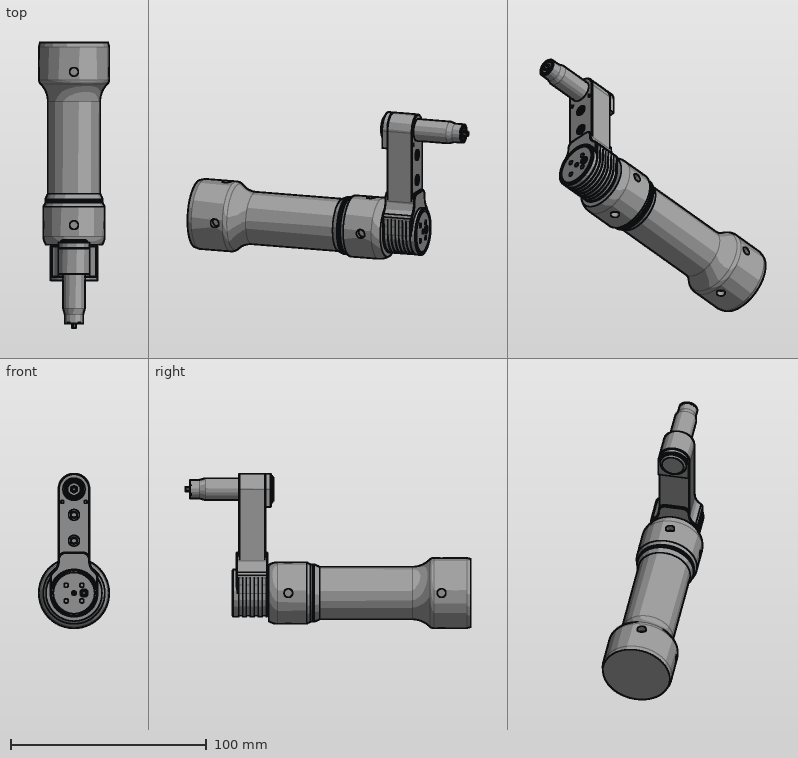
import cadquery as cq
import math


head_radius = 18.0
head_rear_radius = 17.4
head_lead_in_end_at = 2.2
head_front_at = 19.0
head_edge_radius = 3.0
barrel_radius = 13.45
barrel_front_at = 77.2
band_radius = 14.7
band_rear_at = 79.9
band_front_at = 81.9
band_groove_width = 0.4
band_groove_depth = 0.3
collar_radius = 15.75
collar_rear_at = 83.8
collar_taper_at = 98.8
collar_front_at = 103.3
collar_front_radius = 14.3
spanner_hole_radius = 2.2
spanner_hole_depth = 3.5
spanner_hole_rows = ((15.0, head_radius), (93.2, collar_radius))
spanner_holes_per_row = 4

hub_radius = 12.1
hub_rear_at = 103.7
hub_front_at = 119.7
hub_shoulder_z = 9.0
shoulder_chamfer_x = 0.9
shoulder_chamfer_z = 1.5
hub_neck_z = 16.6
hub_top_z = 20.8
hub_corner_radius = 3.5
hub_edge_chamfer = 0.45
spigot_radius = 10.5
grip_groove_count = 4
grip_groove_width = 2.1
grip_groove_pitch = 4.0
grip_groove_depth = 0.5
grip_groove_top_z = 7.7
grip_runout_z = 4.2
first_grip_groove_at = 104.5

disc_radius = hub_radius
disc_front_at = 121.7
disc_chamfer_length = 0.4
disc_chamfer_width = 0.7
disc_recess_radius = 10.5
disc_recess_depth = 0.2
disc_hole_radius = 1.1
disc_hole_depth = 4.0
disc_hole_spacing = 8.0
centre_hole_depth = 1.5
centre_pilot_radius = 0.5
set_screw_x = 5.1
set_screw_radius = 2.0
set_screw_recess = 0.5
set_screw_countersink_radius = 1.4
set_screw_countersink_depth = 0.3
set_screw_socket_radius = 0.9
set_screw_socket_depth = 1.5

crank_length = 53.0
arm_width = 16.0
arm_rear_at = 104.8
arm_front_at = 118.4
arm_edge_chamfer = 0.4
arm_screw_heights = (26.7, 39.9)
arm_screw_radius = 2.75
arm_screw_recess = 0.2
arm_socket_radius = 1.5
arm_socket_depth = 1.5
arm_socket_lip_radius = 1.7
arm_socket_lip_depth = 0.3
pin_hole_x = 5.95
pin_hole_z = 46.5
pin_hole_radius = 0.8
pin_hole_depth = 3.0

cover_rear_at = 102.0
cover_bottom_z = 43.9
cover_edge_chamfer = 0.3
nut_rear_at = 100.6
nut_rear_radius = 5.6
nut_front_radius = 6.8
nut_base_length = 0.5

pin_radius = 5.65
pin_front_at = 135.7
tip_rear_at = 138.6
tip_radius = 4.8
tip_front_at = 143.6
tip_chamfer = 0.3
core_radius = 3.3
tip_wall = 0.6
serration_depth = 0.8
serration_count = 24
serration_width = 0.35
hex_radius = 1.3
hex_front_at = 145.9
hex_chamfer = 0.3
hex_recess_radius = 1.85
hex_recess_depth = 0.6


def cylinder(radius, rear_at, front_at, x=0.0, z=0.0):
    """Cylinder along Y between two distances from the rear face."""
    section = cq.Workplane("XZ").workplane(offset=rear_at).center(x, z)
    return section.circle(radius).extrude(front_at - rear_at)


def hexagon(corner_radius, rear_at, front_at, x=0.0, z=0.0):
    """Hexagonal prism along Y with one corner pointing up."""
    corners = []
    for i in range(6):
        angle = math.radians(90 + 60 * i)
        corners.append((corner_radius * math.cos(angle), corner_radius * math.sin(angle)))
    section = cq.Workplane("XZ").workplane(offset=rear_at).center(x, z)
    return section.polyline(corners).close().extrude(front_at - rear_at)


def make_handle():
    """Revolved head, barrel and collar with radial spanner holes."""
    neck_angle = math.radians(45)
    half_turn = neck_angle / 2
    diagonal = math.cos(neck_angle)
    edge_end_at = head_front_at + head_edge_radius * diagonal
    edge_end_radius = head_radius - head_edge_radius * (1 - diagonal)
    neck_radius = (edge_end_radius - barrel_radius) / (1 - diagonal)
    neck_end_at = edge_end_at + neck_radius * diagonal
    edge_middle = (
        head_radius - head_edge_radius * (1 - math.cos(half_turn)),
        -(head_front_at + head_edge_radius * math.sin(half_turn)),
    )
    neck_middle = (
        barrel_radius + neck_radius * (1 - math.cos(half_turn)),
        -(neck_end_at - neck_radius * math.sin(half_turn)),
    )
    profile = (
        cq.Workplane("XY")
        .moveTo(0, 0)
        .lineTo(head_rear_radius, 0)
        .lineTo(head_radius, -head_lead_in_end_at)
        .lineTo(head_radius, -head_front_at)
        .threePointArc(edge_middle, (edge_end_radius, -edge_end_at))
        .threePointArc(neck_middle, (barrel_radius, -neck_end_at))
        .lineTo(barrel_radius, -barrel_front_at)
        .lineTo(band_radius, -band_rear_at)
        .lineTo(band_radius, -band_front_at)
        .lineTo(collar_radius, -collar_rear_at)
        .lineTo(collar_radius, -collar_taper_at)
        .tangentArcPoint((collar_front_radius, -collar_front_at), relative=False)
        .lineTo(0, -collar_front_at)
        .close()
    )
    handle = profile.revolve(360, (0, 0, 0), (0, 1, 0))

    groove_rear_at = (band_rear_at + band_front_at - band_groove_width) / 2
    groove_front_at = groove_rear_at + band_groove_width
    groove = cylinder(collar_radius, groove_rear_at, groove_front_at)
    groove = groove.cut(cylinder(band_radius - band_groove_depth, groove_rear_at, groove_front_at))
    handle = handle.cut(groove)

    for row_at, surface_radius in spanner_hole_rows:
        hole = (
            cq.Workplane("XY")
            .workplane(offset=surface_radius - spanner_hole_depth)
            .center(0, -row_at)
            .circle(spanner_hole_radius)
            .extrude(2 * spanner_hole_depth)
        )
        for i in range(spanner_holes_per_row):
            angle = 360 / spanner_holes_per_row * i
            handle = handle.cut(hole.rotate((0, 0, 0), (0, 1, 0), angle))
    return handle


def make_grip_groove(rear_at, front_at):
    """Cutter around the round bottom of the hub that runs out on both of its flat sides."""
    floor_x = hub_radius - grip_groove_depth
    outer_x = 2 * hub_radius
    section = cq.Workplane("XZ").workplane(offset=rear_at)
    outside = (
        section.moveTo(-outer_x, grip_groove_top_z)
        .lineTo(-outer_x, -outer_x)
        .lineTo(outer_x, -outer_x)
        .lineTo(outer_x, grip_groove_top_z)
        .close()
        .extrude(front_at - rear_at)
    )
    core = (
        section.moveTo(-hub_radius, grip_groove_top_z)
        .lineTo(-floor_x, grip_runout_z)
        .lineTo(-floor_x, 0)
        .threePointArc((0, -floor_x), (floor_x, 0))
        .lineTo(floor_x, grip_runout_z)
        .lineTo(hub_radius, grip_groove_top_z)
        .close()
        .extrude(front_at - rear_at)
    )
    return outside.cut(core)


def make_hub():
    """Hub with a round bottom, a flared neck for the arm and grip grooves around it."""
    half_arm = arm_width / 2
    flare_x = hub_radius - shoulder_chamfer_x
    flare_z = hub_shoulder_z + shoulder_chamfer_z
    outline = (
        cq.Workplane("XZ")
        .workplane(offset=hub_rear_at)
        .moveTo(0, hub_top_z)
        .lineTo(half_arm, hub_top_z)
        .lineTo(half_arm, hub_neck_z)
        .tangentArcPoint((flare_x, flare_z), relative=False)
        .lineTo(hub_radius, hub_shoulder_z)
        .lineTo(hub_radius, 0)
        .radiusArc((0, -hub_radius), hub_radius)
        .mirrorY()
    )
    hub = outline.extrude(hub_front_at - hub_rear_at)
    hub = hub.edges("|Y").edges(">Z").fillet(hub_corner_radius)
    hub = hub.faces("<Y or >Y").chamfer(hub_edge_chamfer)

    for i in range(grip_groove_count):
        rear_at = first_grip_groove_at + i * grip_groove_pitch
        hub = hub.cut(make_grip_groove(rear_at, rear_at + grip_groove_width))

    return hub.union(cylinder(spigot_radius, collar_front_at, hub_rear_at))


def make_disc():
    """Front disc with a bevelled rim and a shallow recess in its face."""
    disc = cylinder(disc_radius, hub_front_at - hub_edge_chamfer, disc_front_at)
    rim = (
        cq.Workplane("XY")
        .moveTo(disc_radius - disc_chamfer_width, -disc_front_at)
        .lineTo(disc_radius, -disc_front_at)
        .lineTo(disc_radius, -(disc_front_at - disc_chamfer_length))
        .close()
        .revolve(360, (0, 0, 0), (0, 1, 0))
    )
    disc = disc.cut(rim)
    floor_at = disc_front_at - disc_recess_depth
    return disc.cut(cylinder(disc_recess_radius, floor_at, disc_front_at))


def disc_holes():
    """Cutters for the hole pattern and the set screw; they reach into the hub."""
    half_spacing = disc_hole_spacing / 2
    bottom_at = disc_front_at - disc_hole_depth
    centre_step_at = disc_front_at - centre_hole_depth
    cutters = cylinder(disc_hole_radius, centre_step_at, disc_front_at)
    cutters = cutters.union(cylinder(centre_pilot_radius, bottom_at, centre_step_at))
    for x in (-half_spacing, half_spacing):
        for z in (-half_spacing, half_spacing):
            cutters = cutters.union(cylinder(disc_hole_radius, bottom_at, disc_front_at, x, z))
    screw_at = disc_front_at - disc_recess_depth - set_screw_recess
    cutters = cutters.union(cylinder(set_screw_radius, screw_at, disc_front_at, set_screw_x))
    countersink_at = screw_at - set_screw_countersink_depth
    cutters = cutters.union(cylinder(set_screw_countersink_radius, countersink_at, screw_at, set_screw_x))
    socket_at = screw_at - set_screw_socket_depth
    return cutters.union(hexagon(set_screw_socket_radius, socket_at, screw_at, set_screw_x))


def arm_section(bottom_z, rear_at, front_at):
    """Prism with the arm width and a full round around the crank pin axis."""
    half_arm = arm_width / 2
    return (
        cq.Workplane("XZ")
        .workplane(offset=rear_at)
        .moveTo(-half_arm, bottom_z)
        .lineTo(-half_arm, crank_length)
        .threePointArc((0, crank_length + half_arm), (half_arm, crank_length))
        .lineTo(half_arm, bottom_z)
        .close()
        .extrude(front_at - rear_at)
    )


def make_arm():
    """Crank arm with two flush socket screws and two pin holes on its front face."""
    arm = arm_section(0, arm_rear_at, arm_front_at)
    arm = arm.faces("<Y or >Y").chamfer(arm_edge_chamfer)
    recess_at = arm_front_at - arm_screw_recess
    lip_at = recess_at - arm_socket_lip_depth
    socket_at = arm_front_at - arm_socket_depth
    for z in arm_screw_heights:
        arm = arm.cut(cylinder(arm_screw_radius, recess_at, arm_front_at, z=z))
        arm = arm.cut(cylinder(arm_socket_lip_radius, lip_at, recess_at, z=z))
        arm = arm.cut(hexagon(arm_socket_radius, socket_at, lip_at, z=z))
    for x in (-pin_hole_x, pin_hole_x):
        arm = arm.cut(cylinder(pin_hole_radius, arm_front_at - pin_hole_depth, arm_front_at, x, pin_hole_z))
    return arm


def make_cover():
    """Cover behind the arm end, carrying a conical nut on the crank pin axis."""
    cover = arm_section(cover_bottom_z, cover_rear_at, arm_rear_at)
    cover = cover.faces(">Y").chamfer(cover_edge_chamfer)
    nut = (
        cq.Workplane("XY")
        .moveTo(0, -nut_rear_at)
        .lineTo(nut_rear_radius, -nut_rear_at)
        .lineTo(nut_front_radius, -(cover_rear_at - nut_base_length))
        .lineTo(nut_front_radius, -cover_rear_at)
        .lineTo(0, -cover_rear_at)
        .close()
        .revolve(360, (0, 0, 0), (0, 1, 0))
        .translate((0, 0, crank_length))
    )
    return cover.union(nut)


def make_pin():
    """Crank pin with a conical step to its tip, a serrated end face and a hexagonal end."""
    pin = (
        cq.Workplane("XY")
        .moveTo(0, -arm_front_at)
        .lineTo(pin_radius, -arm_front_at)
        .lineTo(pin_radius, -pin_front_at)
        .lineTo(tip_radius, -tip_rear_at)
        .lineTo(tip_radius, -(tip_front_at - tip_chamfer))
        .lineTo(tip_radius - tip_chamfer, -tip_front_at)
        .lineTo(0, -tip_front_at)
        .close()
        .revolve(360, (0, 0, 0), (0, 1, 0))
    )
    notch_length = tip_radius - tip_wall - core_radius
    notch = (
        cq.Workplane("XZ")
        .workplane(offset=tip_front_at - serration_depth)
        .center(core_radius + notch_length / 2, 0)
        .rect(notch_length, serration_width)
        .extrude(serration_depth)
    )
    for i in range(serration_count):
        pin = pin.cut(notch.rotate((0, 0, 0), (0, 1, 0), 360 / serration_count * i))
    recess_at = tip_front_at - hex_recess_depth
    pin = pin.cut(hexagon(hex_recess_radius, recess_at, tip_front_at))
    hex_end = hexagon(hex_radius, recess_at, hex_front_at).faces("<Y").chamfer(hex_chamfer)
    pin = pin.union(hex_end)
    return pin.translate((0, 0, crank_length))


result = (
    make_handle()
    .union(make_hub())
    .union(make_arm())
    .union(make_disc())
    .union(make_cover())
    .union(make_pin())
    .cut(disc_holes())
)